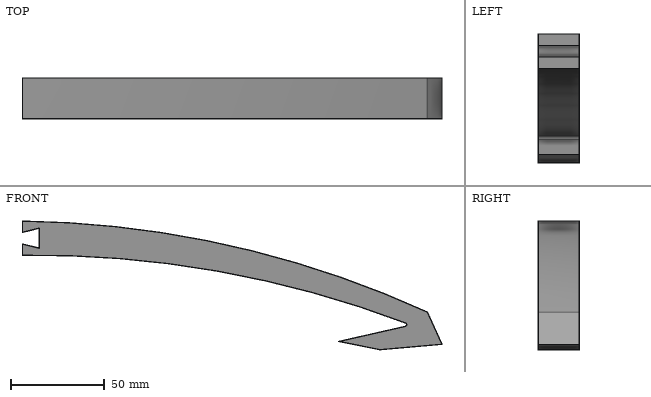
import cadquery as cq

length = 224.5
width = 22.0
height = 69.0

arm_thickness = 18.5
upper_arc_middle = (123.0, -16.0)
upper_arc_end = (216.5, -48.7)
lower_arc_middle = (123.0, -30.5)

nose = (length, -66.0)
hook_bottom = (191.2, -height)
barb_tip = (169.0, -64.5)
throat = (207.5, -55.7)
corner_radius = 1.0

slot_depth = 9.0
slot_mouth = 6.0
slot_floor = 10.5


def hooked_arm():
    """Arm and hook profile in XZ, extruded across the width."""
    body = (
        cq.Workplane("XZ")
        .moveTo(0, 0)
        .threePointArc(upper_arc_middle, upper_arc_end)
        .lineTo(*nose)
        .lineTo(*hook_bottom)
        .lineTo(*barb_tip)
        .lineTo(*throat)
        .threePointArc(lower_arc_middle, (0, -arm_thickness))
        .close()
        .extrude(width / 2, both=True)
    )
    for x, z in (throat, upper_arc_end):
        corner = cq.selectors.NearestToPointSelector((x, 0, z))
        body = body.edges("|Y").edges(corner).fillet(corner_radius)
    return body


def dovetail_slot():
    """Slot cutter, narrow at the end face and wider at its floor."""
    centre_z = -arm_thickness / 2
    return (
        cq.Workplane("XZ")
        .moveTo(0, centre_z + slot_mouth / 2)
        .lineTo(slot_depth, centre_z + slot_floor / 2)
        .lineTo(slot_depth, centre_z - slot_floor / 2)
        .lineTo(0, centre_z - slot_mouth / 2)
        .close()
        .extrude(width / 2, both=True)
    )


result = hooked_arm().cut(dovetail_slot())